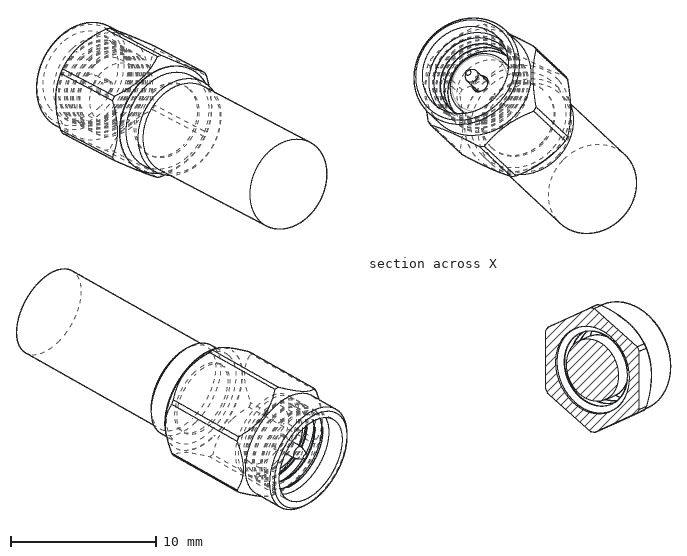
import cadquery as cq
import math

length = 24.75
front_chamfer = 0.22
nut_end = 10.15
hex_full_start = 3.22
hex_full_end = 9.4
flange_start = 10.35
flange_end = 11.78
flange_chamfer_end = 12.03

collar_diameter = 7.77
across_flats = 7.95
across_corners = 8.98
neck_diameter = 5.35
flange_diameter = 7.0
sleeve_diameter = 6.5
hex_chamfer_length = 0.7

mouth_diameter = 6.35
mouth_taper_diameter = 5.87
mouth_depth = 1.25
mouth_taper_end = 1.63
socket_depth = 4.2

thread_root_diameter = 6.19
thread_crest_diameter = 5.35
thread_pitch = 0.75
thread_crest_width = 0.07
thread_flank_angle = 30.0
first_crest = 2.15
ridge_count = 3

insulator_diameter = 4.45
insulator_front = 2.77
insulator_edge_radius = 0.17

pin_diameter = 0.95
pin_tip_diameter = 0.4
pin_tip = 0.52
pin_shoulder = 1.2
clearance_diameter = 1.2
clearance_depth = 0.25


def revolve_profile(stations):
    """Revolve (x, diameter) stations, closed along the X axis."""
    outline = [(x, diameter / 2) for x, diameter in stations]
    first_x = stations[0][0]
    last_x = stations[-1][0]
    points = [(first_x, 0)] + outline + [(last_x, 0)]
    return cq.Workplane("XY").polyline(points).close().revolve(360, (0, 0, 0), (1, 0, 0))


def make_nut():
    """Round front collar and a hexagon with conically chamfered ends."""
    hex_start = hex_full_start - hex_chamfer_length
    hex_end = hex_full_end + hex_chamfer_length
    hexagon = (
        cq.Workplane("YZ", origin=(hex_start, 0, 0))
        .polygon(6, across_flats, circumscribed=True)
        .extrude(nut_end - hex_start)
    )
    envelope = revolve_profile([
        (hex_start, collar_diameter),
        (hex_full_start, across_corners),
        (hex_full_end, across_corners),
        (hex_end, collar_diameter),
        (nut_end, collar_diameter),
    ])
    collar = revolve_profile([
        (0, collar_diameter - 2 * front_chamfer),
        (front_chamfer, collar_diameter),
        (hex_full_start, collar_diameter),
    ])
    return hexagon.intersect(envelope).union(collar)


def make_rear_body():
    """Neck behind the nut, chamfered flange and long plain sleeve."""
    return revolve_profile([
        (hex_full_end, neck_diameter),
        (flange_start, neck_diameter),
        (flange_start, flange_diameter),
        (flange_end, flange_diameter),
        (flange_chamfer_end, sleeve_diameter),
        (length, sleeve_diameter),
    ])


def make_socket():
    """Tapered mouth followed by a bore with thread ridges, as a cutting solid."""
    flank_slope = math.tan(math.radians(thread_flank_angle))
    mouth_flank = flank_slope * (thread_root_diameter - mouth_taper_diameter) / 2
    ridge_flank = flank_slope * (thread_root_diameter - thread_crest_diameter) / 2
    half_crest = thread_crest_width / 2
    half_base = half_crest + ridge_flank

    stations = [
        (0, mouth_diameter),
        (mouth_depth, mouth_diameter),
        (mouth_taper_end, mouth_taper_diameter),
        (mouth_taper_end + mouth_flank, thread_root_diameter),
    ]
    for index in range(ridge_count):
        crest = first_crest + index * thread_pitch
        stations += [
            (crest - half_base, thread_root_diameter),
            (crest - half_crest, thread_crest_diameter),
            (crest + half_crest, thread_crest_diameter),
            (crest + half_base, thread_root_diameter),
        ]
    stations.append((socket_depth, thread_root_diameter))
    return revolve_profile(stations)


def make_insulator():
    """Insulator with a rounded front edge and a shallow clearance recess around the pin."""
    insulator = revolve_profile([
        (insulator_front, insulator_diameter),
        (hex_full_end, insulator_diameter),
    ]).faces("<X").edges().fillet(insulator_edge_radius)
    clearance = revolve_profile([
        (insulator_front, clearance_diameter),
        (insulator_front + clearance_depth, clearance_diameter),
    ])
    return insulator.cut(clearance)


def make_pin():
    """Centre pin with a blunt conical tip, rooted in the solid body."""
    return revolve_profile([
        (pin_tip, pin_tip_diameter),
        (pin_shoulder, pin_diameter),
        (hex_full_end, pin_diameter),
    ])


shell = make_nut().union(make_rear_body()).cut(make_socket())
result = shell.union(make_insulator()).union(make_pin())